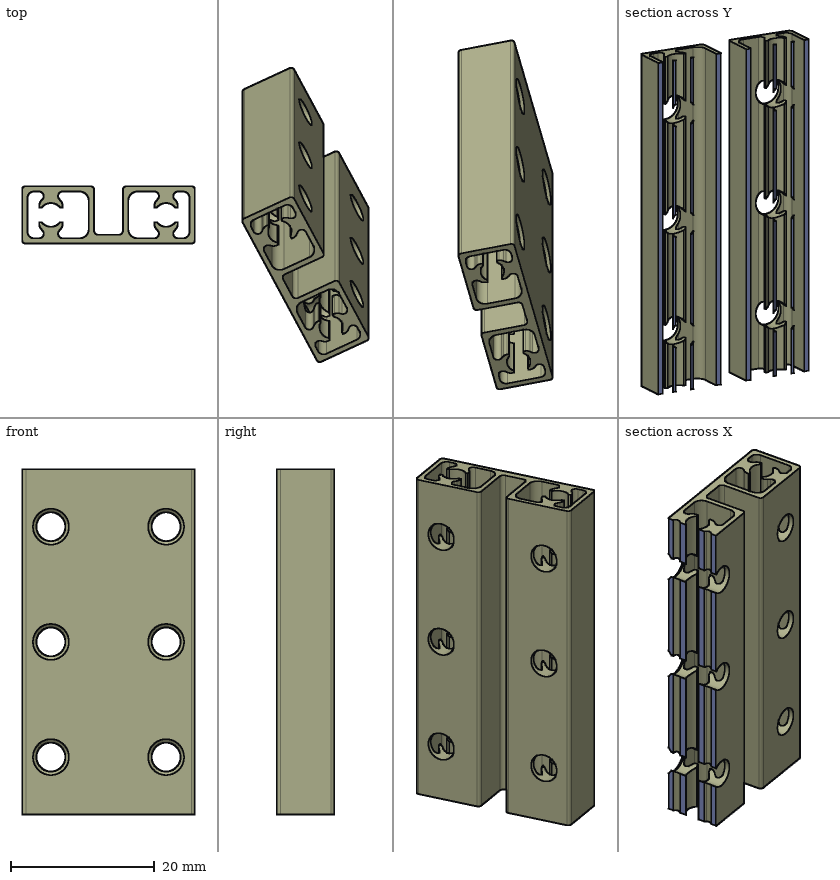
import cadquery as cq
import math

width = 24.0
depth = 48.0 / 6
length = 48.0
outer_radius = 0.5

channel_width = 4.0
channel_floor = 1.25
channel_radius = 0.6

wall = 0.75
outer_corner_radius = 0.85
inner_corner_radius = 1.25
chamber_outer_x = width / 2 - wall
chamber_inner_x = channel_width / 2 + wall
chamber_half_depth = depth / 2 - wall

port_x = width / 3
port_radius = 1.65
rib_half_width = 1.65
rib_waist_half_width = 1.0
rib_tip_y = 1.0
rib_root_radius = 0.6
rib_flank_angle = math.radians(50)
rib_shoulder_radius = 0.95

hole_diameter = 4.0
countersink_diameter = 5.0
countersink_angle = 90
hole_columns = 2
hole_rows = 3
hole_pitch = length / hole_rows


def make_body():
    """Solid bar with the channel cut in its back, all outside corners rounded."""
    channel = (
        cq.Workplane("XY")
        .box(channel_width, depth - channel_floor, length)
        .edges("|Z and <Y")
        .fillet(channel_radius)
        .translate((0, channel_floor / 2, 0))
    )
    body = cq.Workplane("XY").box(width, depth, length).cut(channel)
    return body.faces(">Y or <Y").edges("|Z").fillet(outer_radius)


def make_rib():
    """Rib hanging from the +Y chamber wall, centred on X = 0."""
    root_x = rib_waist_half_width + rib_root_radius
    root_y = chamber_half_depth - rib_root_radius
    flank_x = root_x - rib_root_radius * math.sin(rib_flank_angle)
    flank_y = root_y - rib_root_radius * math.cos(rib_flank_angle)
    shoulder_y = flank_y - (rib_half_width - flank_x) * math.tan(rib_flank_angle)
    rib = (
        cq.Workplane("XY")
        .moveTo(-root_x, chamber_half_depth)
        .threePointArc((-rib_waist_half_width, root_y), (-flank_x, flank_y))
        .lineTo(-rib_half_width, shoulder_y)
        .lineTo(-rib_half_width, rib_tip_y)
        .lineTo(rib_half_width, rib_tip_y)
        .lineTo(rib_half_width, shoulder_y)
        .lineTo(flank_x, flank_y)
        .threePointArc((rib_waist_half_width, root_y), (root_x, chamber_half_depth))
        .close()
        .extrude(length / 2, both=True)
    )
    rib = rib.faces("<X or >X").edges("|Z").edges(">Y").fillet(rib_shoulder_radius)
    port = cq.Workplane("XY").circle(port_radius).extrude(length / 2, both=True)
    return rib.cut(port)


def make_chamber():
    """Void of the +X chamber, with both ribs left standing."""
    chamber = (
        cq.Workplane("XY")
        .box(chamber_outer_x - chamber_inner_x, 2 * chamber_half_depth, length)
        .translate(((chamber_outer_x + chamber_inner_x) / 2, 0, 0))
    )
    chamber = chamber.edges("|Z and >X").fillet(outer_corner_radius)
    chamber = chamber.edges("|Z and <X").fillet(inner_corner_radius)
    rib = make_rib().translate((port_x, 0, 0))
    return chamber.cut(rib).cut(rib.mirror("XZ"))


def drill_holes(body):
    """Through holes along Y, countersunk on the front (-Y) face."""
    return (
        body.faces("<Y")
        .workplane(origin=(0, -depth / 2, 0))
        .rarray(2 * port_x, hole_pitch, hole_columns, hole_rows)
        .cskHole(hole_diameter, countersink_diameter, countersink_angle)
    )


chamber = make_chamber()
profile = make_body().cut(chamber).cut(chamber.mirror("YZ"))
result = drill_holes(profile)